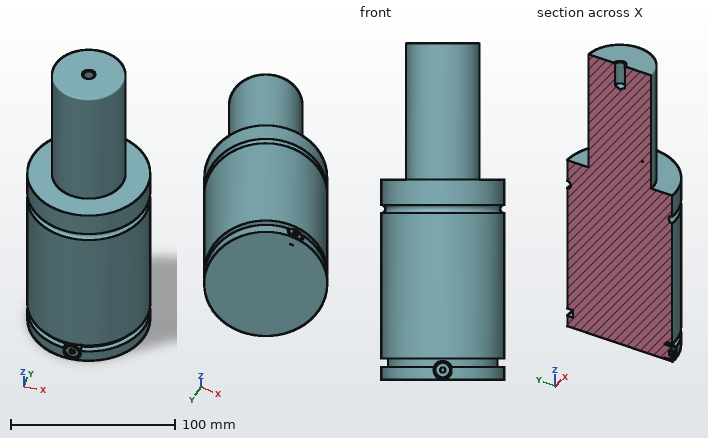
import cadquery as cq
import math

total_height = 205.0
body_diameter = 75.0
body_height = 122.0
rod_diameter = 45.0
rod_edge_radius = 1.0

round_groove_radius = 2.5
round_groove_z = 104.0

base_groove_diameter = 67.0
base_flange_height = 8.0
base_groove_width = 5.0

rod_hole_diameter = 6.8
rod_hole_depth = 16.0
rod_hole_mouth_diameter = 8.0
drill_point_angle = 118.0

plug_bore_diameter = 11.0
plug_diameter = 10.0
plug_edge_chamfer = 0.5
plug_z = 6.0
plug_face_y = -37.0
plug_bore_floor_y = -32.0
socket_across_flats = 3.0
socket_depth = 2.0


def make_body():
    """Turned outline of the cylinder body and rod, with both grooves."""
    body_radius = body_diameter / 2
    rod_radius = rod_diameter / 2
    groove_radius = base_groove_diameter / 2
    base_groove_top = base_flange_height + base_groove_width
    profile = (
        cq.Workplane("XZ")
        .lineTo(body_radius, 0)
        .lineTo(body_radius, base_flange_height)
        .lineTo(groove_radius, base_flange_height)
        .lineTo(groove_radius, base_groove_top)
        .lineTo(body_radius, base_groove_top)
        .lineTo(body_radius, round_groove_z - round_groove_radius)
        .threePointArc(
            (body_radius - round_groove_radius, round_groove_z),
            (body_radius, round_groove_z + round_groove_radius),
        )
        .lineTo(body_radius, body_height)
        .lineTo(rod_radius, body_height)
        .lineTo(rod_radius, total_height - rod_edge_radius)
        .radiusArc((rod_radius - rod_edge_radius, total_height), -rod_edge_radius)
        .lineTo(0, total_height)
        .close()
    )
    return profile.revolve(360, (0, 0, 0), (0, 1, 0))


def make_rod_hole():
    """Blind hole with a countersunk mouth and a conical drill point."""
    radius = rod_hole_diameter / 2
    mouth_radius = rod_hole_mouth_diameter / 2
    mouth_depth = mouth_radius - radius
    hole_floor = total_height - rod_hole_depth
    point_depth = radius / math.tan(math.radians(drill_point_angle / 2))
    profile = (
        cq.Workplane("XZ")
        .moveTo(0, total_height)
        .lineTo(mouth_radius, total_height)
        .lineTo(radius, total_height - mouth_depth)
        .lineTo(radius, hole_floor)
        .lineTo(0, hole_floor - point_depth)
        .close()
    )
    return profile.revolve(360, (0, 0, 0), (0, 1, 0))


def y_cylinder(diameter, y_start, y_end):
    """Cylinder on the plug axis between two Y positions."""
    return (
        cq.Workplane("XZ", origin=(0, y_start, plug_z))
        .circle(diameter / 2)
        .extrude(y_start - y_end)
    )


def add_plug(body):
    """Cut the clearance bore, stand the plug on its floor and sink the hexagon socket."""
    bore = y_cylinder(plug_bore_diameter, plug_bore_floor_y, -body_diameter / 2)
    plug = y_cylinder(plug_diameter, plug_bore_floor_y, plug_face_y)
    plug = plug.faces("<Y").chamfer(plug_edge_chamfer)
    socket = (
        cq.Workplane("XZ", origin=(0, plug_face_y, plug_z))
        .transformed(rotate=(0, 0, 90))
        .polygon(6, socket_across_flats, circumscribed=True)
        .extrude(-socket_depth)
    )
    return body.cut(bore).union(plug).cut(socket)


result = add_plug(make_body()).cut(make_rod_hole())